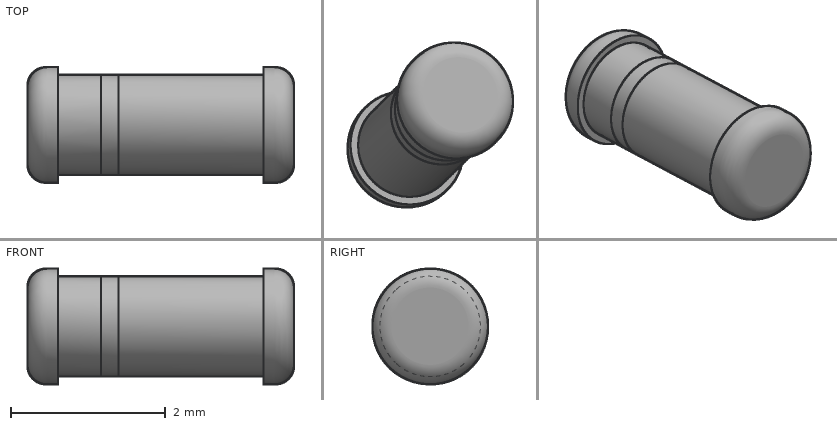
import cadquery as cq

total_length = 3.45
cap_diameter = 1.5
glass_diameter = 1.3

cap_length = 0.4
cap_edge_radius = 0.25

band_width = 0.23
band_gap = 0.55

left_end = -total_length / 2
right_end = total_length / 2
glass_start = left_end + cap_length
glass_end = right_end - cap_length
band_start = glass_start + band_gap
band_end = band_start + band_width


def cylinder_along_x(x_start, x_end, diameter):
    """Solid cylinder on the X axis between two stations."""
    return (
        cq.Workplane("YZ", origin=(x_start, 0, 0))
        .circle(diameter / 2)
        .extrude(x_end - x_start)
    )


def end_cap(x_start, outer_face):
    """Metal cap with its outer rim rounded; outer_face selects the exposed end."""
    cap = cylinder_along_x(x_start, x_start + cap_length, cap_diameter)
    return cap.faces(outer_face).edges().fillet(cap_edge_radius)


caps = [end_cap(left_end, "<X"), end_cap(glass_end, ">X")]

short_glass = cylinder_along_x(glass_start, band_start, glass_diameter)
marking_band = cylinder_along_x(band_start, band_end, glass_diameter)
long_glass = cylinder_along_x(band_end, glass_end, glass_diameter)

result = cq.Compound.makeCompound(
    [
        *[cap.val() for cap in caps],
        short_glass.val(),
        marking_band.val(),
        long_glass.val(),
    ]
)